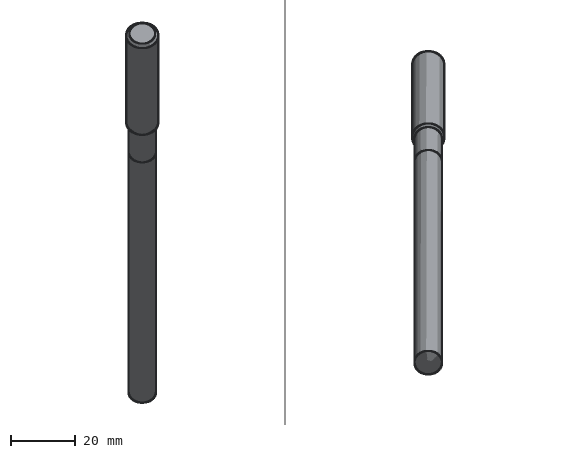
import cadquery as cq

total_length = 182.0
shank_radius = 10.0 / 2
blade_radius = 8.5 / 2

shank_length = 45.7
neck_length = 13.8
top_chamfer = 1.0
shoulder_height = 1.0

tip_height = 1.3

shoulder_z = total_length - shank_length
joint_z = shoulder_z - neck_length


def revolve_profile(points):
    """Turn a closed half-section of (radius, height) points about the Z axis."""
    return cq.Workplane("XZ").polyline(points).close().revolve(360, (0, 0), (0, 1))


def make_shank():
    """Chamfered cylindrical shank narrowing to a neck."""
    return revolve_profile([
        (0, joint_z),
        (blade_radius, joint_z),
        (blade_radius, shoulder_z),
        (shank_radius, shoulder_z + shoulder_height),
        (shank_radius, total_length - top_chamfer),
        (shank_radius - top_chamfer, total_length),
        (0, total_length),
    ])


def make_blade():
    """Long cylindrical cutting part that ends in a shallow cone."""
    return revolve_profile([
        (0, 0),
        (blade_radius, tip_height),
        (blade_radius, joint_z),
        (0, joint_z),
    ])


shank = make_shank()
blade = make_blade()

result = cq.Compound.makeCompound([shank.val(), blade.val()])